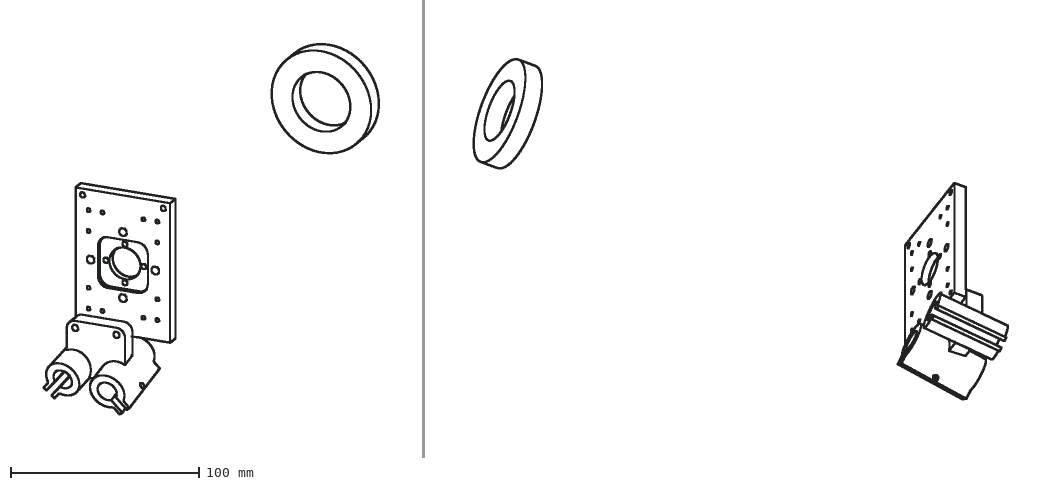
import cadquery as cq
import math


PLATE_WIDTH = 55.2
PLATE_HEIGHT = 80.0
PLATE_THICKNESS = 7.0
WINDOW_DIAMETER = 18.0
POCKET_SIDE = 29.0
POCKET_DEPTH = 2.5
POCKET_CORNER_RADIUS = 6.0
WINDOW_SCREW_DIAMETER = 3.0
WINDOW_SCREW_RADIUS = 11.0
DOWEL_DIAMETER = 4.5
DOWEL_RADIUS = 19.0
PILOT_DIAMETER = 2.0
PILOT_OUTER_X = 20.0
PILOT_INNER_X = 12.0
PILOT_OUTER_Z = 28.2
PILOT_INNER_Z = 16.3
SCREW_DIAMETER = 3.0
SCREW_X = 23.5
SCREW_Z = 36.3

RING_OUTER_DIAMETER = 58.0
RING_INNER_DIAMETER = 33.7
RING_THICKNESS = 10.2
RING_BACK = 266.8

BLOCK_WIDTH = 34.0
BLOCK_HEIGHT = 31.5
BLOCK_THICKNESS = 9.5
BLOCK_CORNER_RADIUS = 5.0
BLOCK_TOP = -32.3
BLOCK_SCREW_SPACING = 24.0
BLOCK_HOLE_DIAMETER = 3.5
ANCHOR_DIAMETER = 2.3
BLOCK_CENTER_X = -SCREW_X + BLOCK_SCREW_SPACING / 2

TUBE_OUTER_DIAMETER = 20.0
TUBE_BORE_DIAMETER = 11.0
TUBE_LENGTH = 40.0
TUBE_PITCH = 12.0
LIP_SPAN = 8.0
LIP_REACH = 14.2
SLOT_WIDTH = 3.8
LIP_FILLET = 1.5
LIP_HOLE_DIAMETER = 3.0
LIP_HOLE_REACH = 12.2
TUBE_PLACES = [
    ((-23.8, -2.0, -57.5), -4.5, 42.0),
    ((0.5, -2.0, -60.2), 0.0, -40.0),
]


def front_plane(y):
    """Sketch plane at depth y with X to the right, Z up and its normal toward -Y."""
    return cq.Workplane("XZ", origin=(0, y, 0))


def cross(radius):
    """Four points at the ends of a cross of the given radius."""
    return [(radius, 0), (0, radius), (-radius, 0), (0, -radius)]


def mirrored(x, z):
    """The four reflections of a point in both axes."""
    return [(sx * x, sz * z) for sx in (-1, 1) for sz in (-1, 1)]


def block_screw_points():
    """Places where screws pass through the block into the plate."""
    return [(-SCREW_X, -SCREW_Z), (-SCREW_X + BLOCK_SCREW_SPACING, -SCREW_Z)]


def drill(points, diameter, start, depth):
    """Cylinders running from y = start toward -Y."""
    return front_plane(start).pushPoints(points).circle(diameter / 2).extrude(depth)


def make_plate():
    plate = front_plane(PLATE_THICKNESS).rect(PLATE_WIDTH, PLATE_HEIGHT).extrude(PLATE_THICKNESS)
    pocket = (
        front_plane(POCKET_DEPTH)
        .rect(POCKET_SIDE, POCKET_SIDE)
        .extrude(POCKET_DEPTH)
        .edges("|Y")
        .fillet(POCKET_CORNER_RADIUS)
    )
    plate = plate.cut(pocket)
    pilots = (
        mirrored(PILOT_OUTER_X, PILOT_OUTER_Z)
        + mirrored(PILOT_INNER_X, PILOT_OUTER_Z)
        + mirrored(PILOT_OUTER_X, PILOT_INNER_Z)
    )
    screws = [(-SCREW_X, SCREW_Z), (SCREW_X, SCREW_Z)]
    hole_groups = [
        ([(0, 0)], WINDOW_DIAMETER),
        (cross(WINDOW_SCREW_RADIUS), WINDOW_SCREW_DIAMETER),
        (cross(DOWEL_RADIUS), DOWEL_DIAMETER),
        (pilots, PILOT_DIAMETER),
        (screws, SCREW_DIAMETER),
        (block_screw_points(), ANCHOR_DIAMETER),
    ]
    for points, diameter in hole_groups:
        plate = plate.cut(drill(points, diameter, PLATE_THICKNESS, PLATE_THICKNESS))
    return plate


def make_ring():
    return (
        front_plane(RING_BACK)
        .circle(RING_OUTER_DIAMETER / 2)
        .circle(RING_INNER_DIAMETER / 2)
        .extrude(RING_THICKNESS)
    )


def tube_cylinder(diameter):
    """Cylinder along Y, centred on the origin."""
    return front_plane(TUBE_LENGTH / 2).circle(diameter / 2).extrude(TUBE_LENGTH)


def slot_box(width, reach):
    """Box from the tube's axis straight down, over the whole tube length."""
    return cq.Workplane("XY").rect(width, TUBE_LENGTH).extrude(-reach)


def place_tube(body, center, yaw, slot_turn):
    """Turn a body built along Y so that its front end drops, then move it into place."""
    origin = (0, 0, 0)
    body = body.rotate(origin, (0, 1, 0), slot_turn)
    body = body.rotate(origin, (1, 0, 0), TUBE_PITCH)
    body = body.rotate(origin, (0, 0, 1), yaw)
    return body.translate(center)


def make_tube(place):
    tube = tube_cylinder(TUBE_OUTER_DIAMETER).union(slot_box(LIP_SPAN, LIP_REACH))
    lip_root_z = -math.sqrt(TUBE_OUTER_DIAMETER**2 - LIP_SPAN**2) / 2
    for side in (-1, 1):
        lip_root = cq.selectors.NearestToPointSelector((side * LIP_SPAN / 2, 0, lip_root_z))
        tube = tube.edges(lip_root).fillet(LIP_FILLET)
    tube = tube.cut(tube_cylinder(TUBE_BORE_DIAMETER)).cut(slot_box(SLOT_WIDTH, LIP_REACH))
    lip_hole = (
        cq.Workplane("YZ", origin=(-LIP_SPAN / 2, 0, -LIP_HOLE_REACH))
        .circle(LIP_HOLE_DIAMETER / 2)
        .extrude(LIP_SPAN)
    )
    return place_tube(tube.cut(lip_hole), *place)


def make_block():
    block = (
        front_plane(0)
        .center(BLOCK_CENTER_X, BLOCK_TOP - BLOCK_HEIGHT / 2)
        .rect(BLOCK_WIDTH, BLOCK_HEIGHT)
        .extrude(BLOCK_THICKNESS)
        .faces(">Z")
        .edges("|Y")
        .fillet(BLOCK_CORNER_RADIUS)
    )
    block = block.cut(drill(block_screw_points(), BLOCK_HOLE_DIAMETER, 0, BLOCK_THICKNESS))
    for place in TUBE_PLACES:
        block = block.cut(place_tube(tube_cylinder(TUBE_OUTER_DIAMETER), *place))
    return block


plate = make_plate()
ring = make_ring()
block = make_block()
tubes = [make_tube(place) for place in TUBE_PLACES]

result = cq.Compound.makeCompound(
    [plate.val(), ring.val(), block.val(), *[tube.val() for tube in tubes]]
)